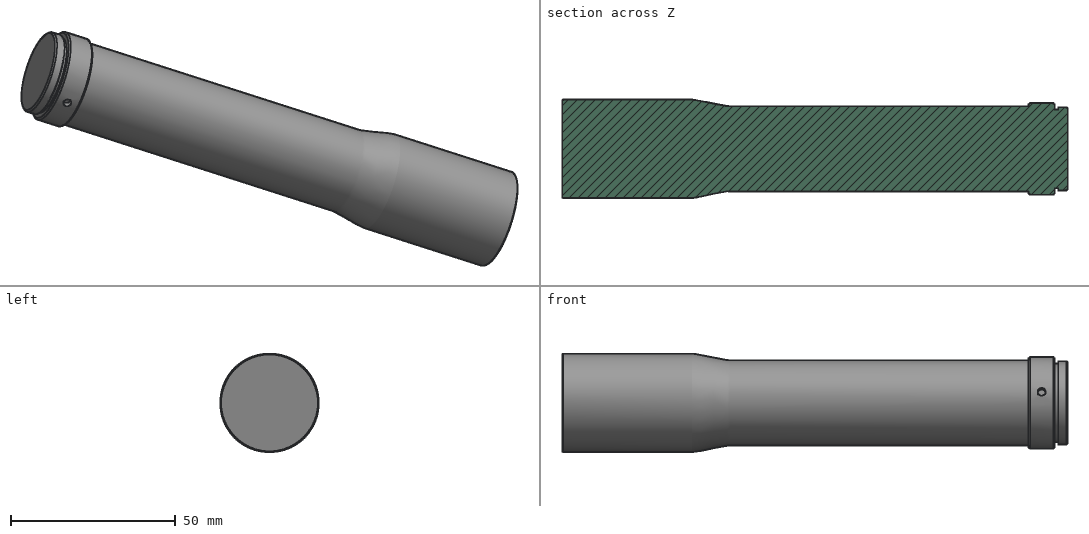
import cadquery as cq

total_length = 153.65

head_radius = 15.0
head_length = 39.5
head_chamfer = 0.3
barrel_radius = 13.0
blend_length = 11.3
blend_handle = 1.7

collar_radius = 14.0
collar_length = 8.0
collar_chamfer = 0.5

mount_radius = 25.4 / 2
mount_length = 4.0
mount_chamfer = 0.5
relief_radius = 12.0
relief_length = 1.0

screw_hole_diameter = 2.4
screw_hole_depth = 2.0
screw_hole_count = 3
first_screw_angle = 46.0

blend_end = head_length + blend_length
collar_end = total_length - mount_length
collar_start = collar_end - collar_length
collar_middle = (collar_start + collar_end) / 2


def make_barrel():
    """Revolve the half profile in the XZ plane: head, smooth blend, barrel, collar and mount."""
    profile = (
        cq.Workplane("XZ")
        .lineTo(0, head_radius - head_chamfer)
        .lineTo(head_chamfer, head_radius)
        .lineTo(head_length, head_radius)
        .bezier([
            (head_length, head_radius),
            (head_length + blend_handle, head_radius),
            (blend_end - blend_handle, barrel_radius),
            (blend_end, barrel_radius),
        ])
        .lineTo(collar_start, barrel_radius)
        .lineTo(collar_start, collar_radius - collar_chamfer)
        .lineTo(collar_start + collar_chamfer, collar_radius)
        .lineTo(collar_end - collar_chamfer, collar_radius)
        .lineTo(collar_end, collar_radius - collar_chamfer)
        .lineTo(collar_end, relief_radius)
        .lineTo(collar_end + relief_length, relief_radius)
        .lineTo(collar_end + relief_length, mount_radius)
        .lineTo(total_length - mount_chamfer, mount_radius)
        .lineTo(total_length, mount_radius - mount_chamfer)
        .lineTo(total_length, 0)
        .close()
    )
    return profile.revolve(360, (0, 0, 0), (1, 0, 0))


def cut_screw_holes(body):
    """Cut blind radial holes, evenly spaced around the middle of the collar."""
    hole = (
        cq.Workplane("XZ", origin=(collar_middle, collar_radius, 0))
        .circle(screw_hole_diameter / 2)
        .extrude(screw_hole_depth)
    )
    for index in range(screw_hole_count):
        angle = first_screw_angle + index * 360 / screw_hole_count
        body = body.cut(hole.rotate((0, 0, 0), (1, 0, 0), angle))
    return body


result = cut_screw_holes(make_barrel())